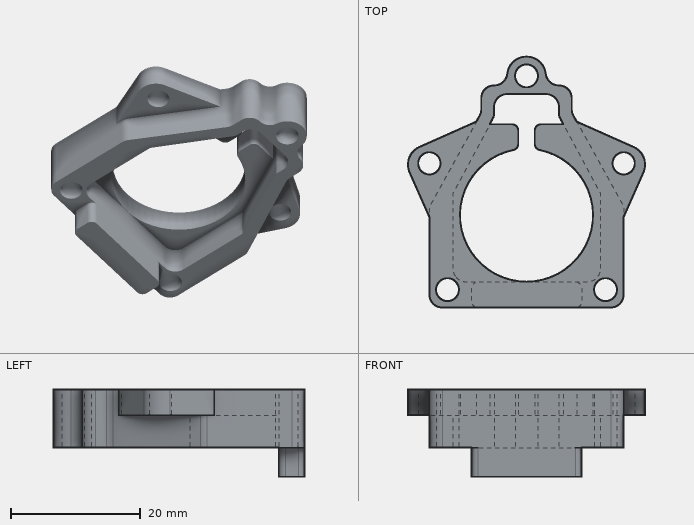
import cadquery as cq
import math


body_height = 9.0
plate_thickness = 4.0
tongue_drop = 4.5

body_half_width = 15.0
body_front_y = -14.27
shoulder_half_width = 7.0
shoulder_y = 20.05
flank_low_y = 1.35
flank_high_y = 15.82
outline_radius = 2.0

lug_radius = 3.0
lug_y = 21.5

screw_diameter = 3.5
ear_hole_diameter = 3.4
front_screw_x = 12.2
front_screw_y = -11.5
ear_hole_x = 15.0
ear_hole_y = 8.0

ear_radius = 3.0
ear_round_x = 15.32
ear_round_y = 7.8
ear_long_edge_angle = 24.0
ear_long_edge_length = 10.5
ear_short_edge_length = 8.0

bore_radius = 10.25
slot_width = 2.5
slot_radius = 1.0
window_front_y = 14.05

cavity_half_width = 11.35
cavity_back_half_width = 5.0
cavity_back_y = 18.68
cavity_flank_low_y = 3.45
cavity_flank_high_y = 15.3
cavity_corner_radius = 2.0
cavity_bend_radius = 1.0

tongue_width = 17.0
tongue_depth = 4.0
tongue_radius = 1.0

cavity_front_y = body_front_y + tongue_depth


def mirrored_prism(right_side, top_z, height):
    """Prism hanging down from top_z; right_side runs from front to back at X > 0."""
    left_side = [(-x, y) for x, y in reversed(right_side)]
    plane = cq.Workplane("XY").workplane(offset=top_z)
    return plane.polyline(right_side + left_side).close().extrude(-height)


def make_body():
    outline = [
        (body_half_width, body_front_y),
        (body_half_width, flank_low_y),
        (shoulder_half_width, flank_high_y),
        (shoulder_half_width, shoulder_y),
    ]
    body = mirrored_prism(outline, 0, body_height)
    lug = cq.Workplane("XY").circle(lug_radius).extrude(-body_height)
    lug = lug.rotate((0, 0, 0), (0, 0, 1), -90).translate((0, lug_y, 0))
    return body.union(lug).edges("|Z").fillet(outline_radius)


def make_ear():
    """Right-hand ear: a right-angled corner rounded at its tip, with its base buried in the body."""
    angle = math.radians(ear_long_edge_angle)
    long_dir = cq.Vector(-math.cos(angle), math.sin(angle))
    short_dir = cq.Vector(-math.sin(angle), -math.cos(angle))
    center = cq.Vector(ear_round_x, ear_round_y)
    corner = center - (long_dir + short_dir) * ear_radius
    long_end = corner + long_dir * (ear_radius + ear_long_edge_length)
    short_end = corner + short_dir * (ear_radius + ear_short_edge_length)
    points = [(p.x, p.y) for p in (corner, long_end, short_end)]
    ear = cq.Workplane("XY").polyline(points).close().extrude(-plate_thickness)
    tip = cq.selectors.NearestToPointSelector((corner.x, corner.y, -plate_thickness / 2))
    return ear.edges(tip).fillet(ear_radius)


def make_cavity(top_z, height):
    """Hollow inside the walls, hanging down from top_z."""
    outline = [
        (cavity_half_width, cavity_front_y),
        (cavity_half_width, cavity_flank_low_y),
        (cavity_back_half_width, cavity_flank_high_y),
        (cavity_back_half_width, cavity_back_y),
    ]
    prism = mirrored_prism(outline, top_z, height)
    rounded = prism.edges("|Z").edges(">Y or <Y").fillet(cavity_corner_radius)
    for side in (-1, 1):
        bend_point = (side * cavity_back_half_width, cavity_flank_high_y, top_z - height / 2)
        bend = cq.selectors.NearestToPointSelector(bend_point)
        rounded = rounded.edges(bend).fillet(cavity_bend_radius)
    return rounded


def make_plate_opening():
    """Bore and back window joined by a narrow slot with rounded mouths."""
    bore = cq.Workplane("XY").circle(bore_radius).extrude(-plate_thickness)
    bore = bore.rotate((0, 0, 0), (0, 0, 1), -90)
    back_block = (
        cq.Workplane("XY")
        .rect(2 * body_half_width, cavity_back_y - window_front_y)
        .extrude(-plate_thickness)
        .translate((0, (cavity_back_y + window_front_y) / 2, 0))
    )
    window = make_cavity(0, plate_thickness).intersect(back_block)
    slot = (
        cq.Workplane("XY")
        .rect(slot_width, window_front_y)
        .extrude(-plate_thickness)
        .translate((0, window_front_y / 2, 0))
    )
    opening = bore.union(slot).union(window)
    mouths = cq.selectors.BoxSelector(
        (-slot_width, 0, -plate_thickness),
        (slot_width, cavity_back_y, 0),
    )
    return opening.edges("|Z").edges(mouths).fillet(slot_radius)


def make_tongue():
    return (
        cq.Workplane("XY")
        .rect(tongue_width, tongue_depth)
        .extrude(-(body_height + tongue_drop))
        .edges("|Z")
        .fillet(tongue_radius)
        .translate((0, body_front_y + tongue_depth / 2, 0))
    )


def drill(centers, diameter):
    return cq.Workplane("XY").pushPoints(centers).circle(diameter / 2).extrude(-body_height)


screw_centers = [(-front_screw_x, front_screw_y), (front_screw_x, front_screw_y), (0, lug_y)]
ear_hole_centers = [(-ear_hole_x, ear_hole_y), (ear_hole_x, ear_hole_y)]

right_ear = make_ear()
left_ear = right_ear.mirror("YZ")

result = (
    make_body()
    .union(make_tongue())
    .union(right_ear)
    .union(left_ear)
    .cut(make_cavity(-plate_thickness, body_height - plate_thickness))
    .cut(make_plate_opening())
    .cut(drill(screw_centers, screw_diameter))
    .cut(drill(ear_hole_centers, ear_hole_diameter))
)